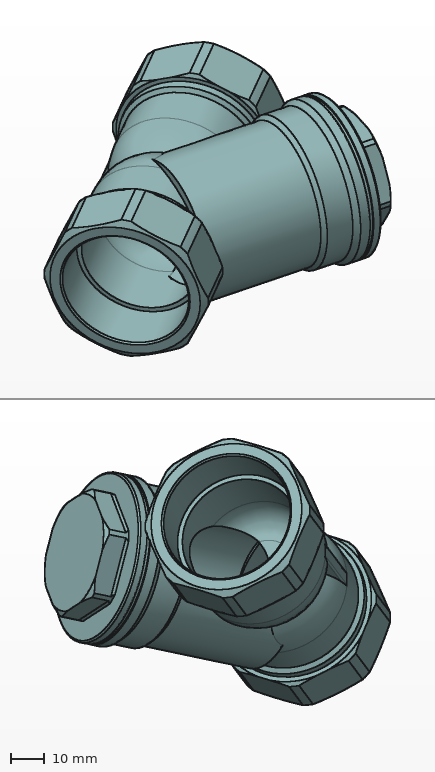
import cadquery as cq
import math

run_half_length = 46.0
nut_length = 17.6
nut_flats = 47.75
nut_round_dia = 50.5
nut_end_chamfer = 2.1
nut_inner_chamfer = 1.3
chamfer_slope = math.tan(math.radians(30))

collar_dia = 45.0
collar_length = 2.7
collar_cone_length = 0.9
neck_dia = 41.95
dome_offset = 12.05

rib_thickness = 4.5
rib_edge_fillet = 0.55

thread_dia = 38.9
thread_depth = 16.0
thread_chamfer = 0.55
passage_dia = 36.0
wall_thickness = 5.6
passage_end_fillet = 8.9

branch_crossing_y = -20.7
branch_dia = 46.0
branch_foot = 7.2
branch_bore_dia = 35.0
branch_bore_start = 7.7

sleeve_dia = 48.6
sleeve_start = 45.6
sleeve_cone_length = 1.5
rim_dia = 51.5
rim_cone_start = 55.75
rim_start = 57.6
mouth = 60.8

gasket_dia = 50.5
gasket_thickness = 1.2

flange_dia = 51.5
flange_thickness = 2.8
flange_chamfer = 0.55
hex_flats = 34.5
hex_round_dia = 38.9
hex_height = 7.5
hex_top_chamfer = 1.75
hex_foot_height = 0.9
hex_foot_flare = 0.5

nut_inner_y = run_half_length - nut_length
collar_inner_y = nut_inner_y - collar_length
wall_half = wall_thickness / 2
neck_radius = neck_dia / 2
gasket_top = mouth + gasket_thickness
flange_top = gasket_top + flange_thickness
hex_top = flange_top + hex_height


def branch_plane(station):
    """Plane square to the branch axis at a station along it; its local X is world Z."""
    reach = station / math.sqrt(2)
    return cq.Plane(origin=(reach, branch_crossing_y + reach, 0), xDir=(0, 0, 1), normal=(1, 1, 0))


def turned_on_run(points):
    """Solid of revolution about Y from (radius, y) points."""
    return cq.Workplane("XY").polyline(points).close().revolve(360, (0, 0, 0), (0, 1, 0))


def turned_on_branch(points):
    """Solid of revolution about the branch axis from (radius, station) points."""
    radial_plane = cq.Plane(origin=(0, branch_crossing_y, 0), xDir=(0, 0, 1), normal=(-1, 1, 0))
    return cq.Workplane(radial_plane).polyline(points).close().revolve(360, (0, 0, 0), (0, 1, 0))


def both_ends(solid):
    return solid.union(solid.mirror("XZ"))


def polygon_prism(plane, sides, flats, height, turn):
    circumscribed = flats / math.cos(math.pi / sides)
    return cq.Workplane(plane).transformed(rotate=(0, 0, turn)).polygon(sides, circumscribed).extrude(height)


def end_nut():
    """Octagon with a corner on the X axis, its corners rounded and both ends chamfered."""
    radius = nut_round_dia / 2
    blank = turned_on_run([
        (0, nut_inner_y),
        (radius - nut_inner_chamfer, nut_inner_y),
        (radius, nut_inner_y + nut_inner_chamfer * chamfer_slope),
        (radius, run_half_length - nut_end_chamfer * chamfer_slope),
        (radius - nut_end_chamfer, run_half_length),
        (0, run_half_length),
    ])
    plane = cq.Plane(origin=(0, nut_inner_y, 0), xDir=(1, 0, 0), normal=(0, 1, 0))
    return blank.intersect(polygon_prism(plane, 8, nut_flats, nut_length, 0))


def collar():
    return turned_on_run([
        (0, collar_inner_y - collar_cone_length),
        (neck_radius, collar_inner_y - collar_cone_length),
        (collar_dia / 2, collar_inner_y),
        (collar_dia / 2, nut_inner_y),
        (0, nut_inner_y),
    ])


def domed_neck():
    """Neck with a spherical inner end, cut at the middle of the run."""
    seam_radius = math.sqrt(neck_radius**2 - dome_offset**2)
    bulge = math.atan2(dome_offset, seam_radius) / 2
    bulge_point = (neck_radius * math.cos(bulge), dome_offset - neck_radius * math.sin(bulge))
    profile = (
        cq.Workplane("XY")
        .lineTo(seam_radius, 0)
        .threePointArc(bulge_point, (neck_radius, dome_offset))
        .lineTo(neck_radius, nut_inner_y)
        .lineTo(0, nut_inner_y)
        .close()
    )
    return profile.revolve(360, (0, 0, 0), (0, 1, 0))


def rib():
    """Web that bridges the waist between the two domes on the -X side."""
    web = cq.Workplane("XY").box(neck_radius, 2 * dome_offset, rib_thickness)
    return web.edges("<X and |Y").fillet(rib_edge_fillet).translate((-neck_radius / 2, 0, 0))


def branch_stem():
    """Branch barrel with a sleeve and a rim, each led in by a cone, around its mouth."""
    return turned_on_branch([
        (0, branch_foot),
        (branch_dia / 2, branch_foot),
        (branch_dia / 2, sleeve_start),
        (sleeve_dia / 2, sleeve_start + sleeve_cone_length),
        (sleeve_dia / 2, rim_cone_start),
        (rim_dia / 2, rim_start),
        (rim_dia / 2, mouth),
        (0, mouth),
    ])


def run_cavity():
    """Blind chamber with a threaded mouth and a rounded floor at the middle wall."""
    thread_radius = thread_dia / 2
    passage_radius = passage_dia / 2
    thread_end = run_half_length - thread_depth
    arc_drop = passage_end_fillet * (1 - math.sqrt(0.5))
    profile = (
        cq.Workplane("XY")
        .moveTo(0, wall_half)
        .lineTo(passage_radius - passage_end_fillet, wall_half)
        .threePointArc(
            (passage_radius - arc_drop, wall_half + arc_drop),
            (passage_radius, wall_half + passage_end_fillet),
        )
        .lineTo(passage_radius, thread_end)
        .lineTo(thread_radius, thread_end)
        .lineTo(thread_radius, run_half_length - thread_chamfer)
        .lineTo(thread_radius + thread_chamfer, run_half_length)
        .lineTo(0, run_half_length)
        .close()
    )
    return profile.revolve(360, (0, 0, 0), (0, 1, 0))


def branch_bore():
    bore = cq.Workplane(branch_plane(branch_bore_start))
    return bore.circle(branch_bore_dia / 2).extrude(mouth - branch_bore_start)


def make_housing():
    outside = both_ends(domed_neck()).union(branch_stem()).union(rib())
    outside = outside.union(both_ends(collar())).union(both_ends(end_nut()))
    return outside.cut(both_ends(run_cavity())).cut(branch_bore())


def make_gasket():
    ring = cq.Workplane(branch_plane(mouth)).circle(gasket_dia / 2).circle(branch_bore_dia / 2)
    return ring.extrude(gasket_thickness)


def cap_flange():
    disc = cq.Workplane(branch_plane(gasket_top)).circle(flange_dia / 2).extrude(flange_thickness)
    return disc.faces(">(1, 1, 0)").edges().chamfer(flange_chamfer)


def cap_hexagon():
    """Hexagon with a flat facing Z, flared at its foot, with rounded and chamfered corners."""
    radius = hex_round_dia / 2
    prism = polygon_prism(branch_plane(flange_top), 6, hex_flats, hex_height, 30)
    foot_flats = hex_flats + 2 * hex_foot_flare
    flare = math.degrees(math.atan2(hex_foot_flare, hex_foot_height))
    foot = (
        cq.Workplane(branch_plane(flange_top))
        .transformed(rotate=(0, 0, 30))
        .polygon(6, foot_flats / math.cos(math.pi / 6))
        .extrude(hex_foot_height, taper=flare)
    )
    envelope = turned_on_branch([
        (0, flange_top),
        (radius, flange_top),
        (radius, hex_top - hex_top_chamfer * chamfer_slope),
        (radius - hex_top_chamfer, hex_top),
        (0, hex_top),
    ])
    return prism.union(foot).intersect(envelope)


def make_cap():
    return cap_flange().union(cap_hexagon())


housing = make_housing()
gasket = make_gasket()
cap = make_cap()

result = cq.Compound.makeCompound([housing.val(), gasket.val(), cap.val()])